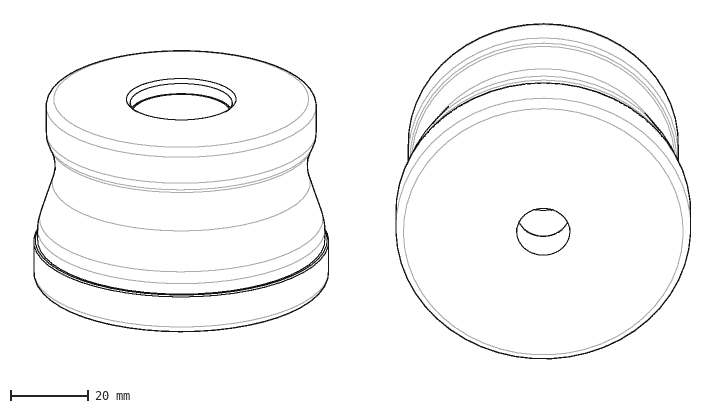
import cadquery as cq
import math

base_radius = 38.1
base_height = 10.75
base_bottom_fillet = 2.0
base_edge_chamfer = 0.4
hole_radius = 6.85

total_height = 50.0
head_radius = 34.9
head_top_fillet = 2.0
head_under_arc = 4.8
throat_radius = 32.6
throat_z = 31.5
throat_arc = 15.0
shoulder_radius = 37.1
shoulder_arc = 10.0
upper_angle = math.radians(25)
lower_angle = math.radians(18)

mouth_radius = 13.2
mouth_chamfer = 1.0
mouth_depth = 3.8
middle_radius = 12.7
middle_depth = 15.25
lower_radius = 12.4


def point_on_arc(center, radius, angle):
    """Point (r, z) on a circle, at an angle from the outward radial direction."""
    return (center[0] + radius * math.cos(angle), center[1] + radius * math.sin(angle))


def along_cone(start, end_r, slope_angle):
    """Height reached on a cone that starts at a point and widens to end_r."""
    return start[1] + (end_r - start[0]) / math.tan(slope_angle)


def make_base():
    plate = cq.Workplane("XY").circle(base_radius).circle(hole_radius).extrude(base_height)
    plate = plate.faces(">Z").edges().chamfer(base_edge_chamfer)
    outer_bottom_edge = cq.selectors.RadiusNthSelector(-1)
    return plate.faces("<Z").edges(outer_bottom_edge).fillet(base_bottom_fillet)


def make_knob_blank():
    """Turned outside: straight foot, shoulder, cone, hollow throat, cone and head."""
    throat_center = (throat_radius + throat_arc, throat_z)
    throat_bottom = point_on_arc(throat_center, throat_arc, math.pi + lower_angle)
    throat_mid = (throat_radius, throat_z)
    throat_top = point_on_arc(throat_center, throat_arc, math.pi - upper_angle)

    shoulder_r = shoulder_radius - shoulder_arc
    cone_end_r = shoulder_r + shoulder_arc * math.cos(lower_angle)
    cone_end_z = along_cone(throat_bottom, cone_end_r, -lower_angle)
    shoulder_center = (shoulder_r, cone_end_z - shoulder_arc * math.sin(lower_angle))
    shoulder_mid = point_on_arc(shoulder_center, shoulder_arc, lower_angle / 2)

    under_r = head_radius - head_under_arc
    under_start_r = under_r + head_under_arc * math.cos(upper_angle)
    under_start_z = along_cone(throat_top, under_start_r, upper_angle)
    under_center = (under_r, under_start_z + head_under_arc * math.sin(upper_angle))
    under_mid = point_on_arc(under_center, head_under_arc, -upper_angle / 2)

    outline = (
        cq.Workplane("XZ")
        .moveTo(0, base_height)
        .lineTo(shoulder_radius, base_height)
        .lineTo(shoulder_radius, shoulder_center[1])
        .threePointArc(shoulder_mid, (cone_end_r, cone_end_z))
        .lineTo(*throat_bottom)
        .threePointArc(throat_mid, throat_top)
        .lineTo(under_start_r, under_start_z)
        .threePointArc(under_mid, (head_radius, under_center[1]))
        .lineTo(head_radius, total_height)
        .lineTo(0, total_height)
        .close()
    )
    blank = outline.revolve(360, (0, 0, 0), (0, 1, 0))
    return blank.faces(">Z").edges().fillet(head_top_fillet)


def cut_bore(blank):
    """Cut the stepped bore from the top, then chamfer its mouth."""
    full_depth = total_height - base_height
    top = cq.Workplane("XY").workplane(offset=total_height)
    knob = blank
    for radius, depth in (
        (lower_radius, full_depth),
        (middle_radius, middle_depth),
        (mouth_radius, mouth_depth),
    ):
        knob = knob.cut(top.circle(radius).extrude(-depth))
    mouth_edge = cq.selectors.RadiusNthSelector(0)
    return knob.faces(">Z").edges(mouth_edge).chamfer(mouth_chamfer)


base = make_base()
knob = cut_bore(make_knob_blank())

result = cq.Compound.makeCompound([base.val(), knob.val()])